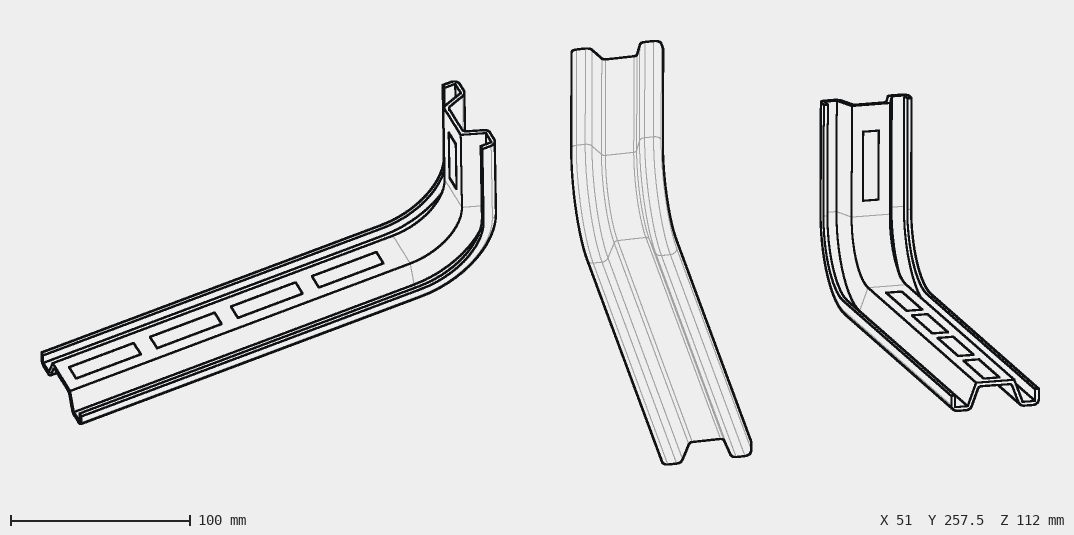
import cadquery as cq
import math

length = 257.5
height = 112.0
width = 51.0

section_height = 15.5
thickness = 2.3
lip_height = 9.0
web_half_width = 11.0
foot_half_width = 16.0
foot_corner_radius = 3.5
web_corner_radius = 2.0

bend_radius = 47.5
lean = 0.7
bend_angle = 90 + lean

pad_length = 40.0
pad_width = 9.0
pad_height = 0.1
pad_pitch = 50.0
arm_pad_count = 4
arm_pad_end_gap = 7.0
upright_pad_end_gap = 15.2

arm_length = length - bend_radius
lean_sine = math.sin(math.radians(lean))
lean_cosine = math.cos(math.radians(lean))
upright_length = (height - bend_radius * (1 + lean_sine)) / lean_cosine
trim_allowance = 2.5


def channel(run):
    """Straight channel from y = 0 to y = run, with its feet on z = 0."""
    half_width = width / 2
    wall_angle = math.atan2(section_height - thickness, foot_half_width - web_half_width)
    mitre = thickness * math.tan(wall_angle / 2)
    right_side = [
        (web_half_width, section_height),
        (foot_half_width, thickness),
        (half_width - thickness, thickness),
        (half_width - thickness, lip_height),
        (half_width, lip_height),
        (half_width, 0),
        (foot_half_width - mitre, 0),
        (web_half_width - mitre, section_height - thickness),
    ]
    left_side = [(-x, z) for x, z in reversed(right_side)]
    body = cq.Workplane("XZ").polyline(right_side + left_side).close().extrude(-run)

    def round_corners(solid, x, z, radius):
        """Round the left and right lengthwise edges at (+-x, z)."""
        margin = 0.03
        for side in (-1, 1):
            edge_box = cq.selectors.BoxSelector(
                (side * x - margin, -margin, z - margin),
                (side * x + margin, run + margin, z + margin),
            )
            solid = solid.edges("|Y").edges(edge_box).fillet(radius)
        return solid

    body = round_corners(body, half_width, 0, foot_corner_radius)
    body = round_corners(body, foot_half_width - mitre, 0, foot_corner_radius)
    return round_corners(body, web_half_width - mitre, section_height - thickness, web_corner_radius)


def pad(start):
    """Pad on the web of a straight channel, starting at y = start."""
    return (
        cq.Workplane("XY", origin=(0, start + pad_length / 2, section_height - thickness / 2))
        .box(pad_width, pad_length, thickness / 2 + pad_height, centered=(True, True, False))
    )


arm = channel(arm_length)
for index in range(arm_pad_count):
    arm = arm.union(pad(arm_pad_end_gap + index * pad_pitch))

bend = (
    arm.faces(">Y")
    .wires()
    .toPending()
    .copyWorkplane(cq.Workplane("XY", origin=(0, arm_length, bend_radius)))
    .revolve(bend_angle, (0, 0, 0), (1, 0, 0))
)

upright_pad_start = upright_length - upright_pad_end_gap - pad_length
upright = (
    channel(upright_length + trim_allowance)
    .union(pad(upright_pad_start))
    .translate((0, arm_length, 0))
    .rotate((0, arm_length, bend_radius), (1, arm_length, bend_radius), bend_angle)
)

above_top = (
    cq.Workplane("XY", origin=(0, length / 2, height))
    .box(width, length, 2 * trim_allowance, centered=(True, True, False))
)

result = arm.union(bend).union(upright).cut(above_top)